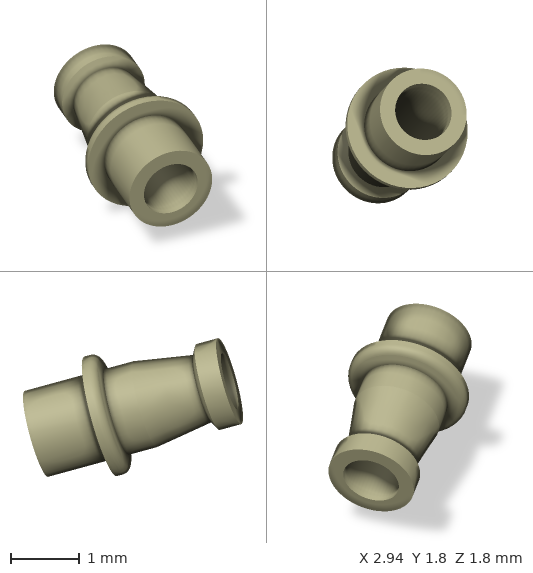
import cadquery as cq

length = 2.94
tip_end = 0.325
neck_start = 0.41
taper_end = 1.285
flange_start = 1.71
flange_end = 1.965

bore_radius = 0.42
body_radius = 0.647
neck_radius = 0.505
flange_radius = 0.9

cone_end = 1.752
cone_radius = 0.808
rim_start = 1.873
round_mid = (1.795, 0.873)

profile = (
    cq.Workplane("XY")
    .moveTo(0, bore_radius)
    .lineTo(0, body_radius)
    .lineTo(tip_end, body_radius)
    .lineTo(neck_start, neck_radius)
    .lineTo(taper_end, body_radius)
    .lineTo(flange_start, body_radius)
    .lineTo(cone_end, cone_radius)
    .threePointArc(round_mid, (rim_start, flange_radius))
    .lineTo(flange_end, flange_radius)
    .lineTo(flange_end, body_radius)
    .lineTo(length, body_radius)
    .lineTo(length, bore_radius)
    .close()
)

result = profile.revolve(360, (0, 0, 0), (1, 0, 0))